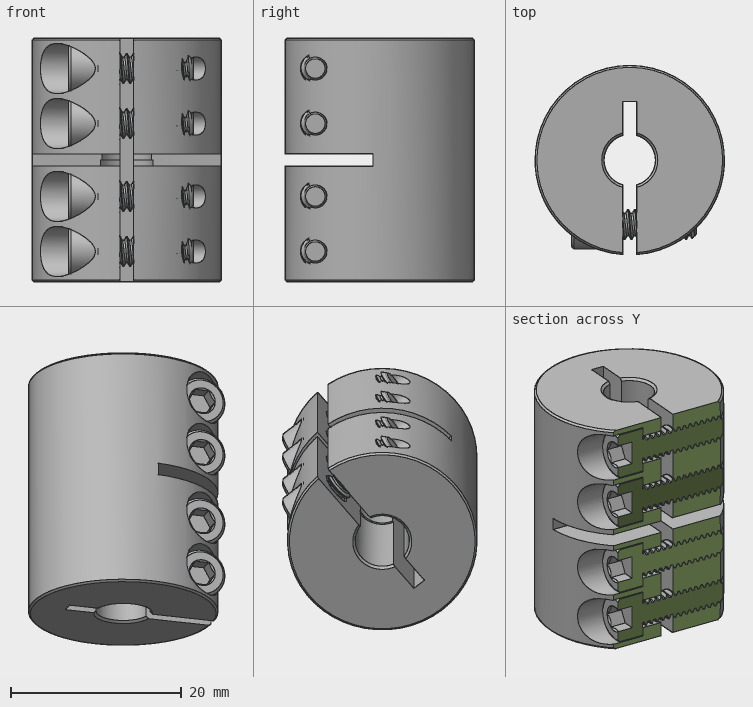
import cadquery as cq
import math

BODY_HEIGHT = 28.57
BODY_RADIUS = 11.1
RIM_CHAMFER = 0.23

UPPER_BORE_RADIUS = 3.0
LOWER_BORE_RADIUS = 3.17
BORE_CHAMFER = 0.29

SLIT_WIDTH = 1.6
SLIT_END_Y = 6.85
CROSS_SLOT_HEIGHT = 1.43
CROSS_SLOT_END_Y = -SLIT_WIDTH / 2

SCREW_Y = -7.55
SCREW_SPACING = 6.45
CLAMP_MIDDLE_Z = (BODY_HEIGHT + CROSS_SLOT_HEIGHT) / 4
SCREW_HEIGHTS = [
    clamp_z + offset
    for clamp_z in (CLAMP_MIDDLE_Z, -CLAMP_MIDDLE_Z)
    for offset in (SCREW_SPACING / 2, -SCREW_SPACING / 2)
]

HEAD_RADIUS = 2.89
HEAD_HEIGHT = 3.49
HEAD_CHAMFER = 0.3
HEAD_FACE_X = -6.85
SEAT_X = HEAD_FACE_X + HEAD_HEIGHT

HEX_ACROSS_CORNERS = 3.2
HEX_DEPTH = 2.0

TIP_X = 7.83
SHANK_LENGTH = TIP_X - SEAT_X
TIP_CHAMFER = 0.6

THREAD_RADIUS = 1.75
THREAD_ROOT_RADIUS = 1.35
THREAD_PITCH = 0.8
THREAD_CREST_WIDTH = THREAD_PITCH / 8
THREAD_FLANK_ANGLE = 30.0
THREAD_START_DEPTH = 0.23
ROOT_OVERLAP = 0.05

COUNTERBORE_RADIUS = 2.95
CLEARANCE_RADIUS = 1.89


def bore_half(radius, end_z):
    """Bore from mid height to one end face, with its chamfer at that face."""
    side = math.copysign(1, end_z)
    mouth = radius + BORE_CHAMFER
    outline = [
        (0, 0),
        (radius, 0),
        (radius, end_z - side * BORE_CHAMFER),
        (mouth, end_z),
        (0, end_z),
    ]
    return cq.Workplane("XZ").polyline(outline).close().revolve(360, (0, 0), (0, 1))


def vertical_slit():
    """Slit through the full height, from beyond the -Y side to its closed end."""
    length = SLIT_END_Y + BODY_RADIUS
    return (
        cq.Workplane("XY")
        .box(SLIT_WIDTH, length, BODY_HEIGHT)
        .translate((0, SLIT_END_Y - length / 2, 0))
    )


def cross_slot():
    """Horizontal slot that parts the two clamps on the -Y side."""
    length = BODY_RADIUS + CROSS_SLOT_END_Y
    return (
        cq.Workplane("XY")
        .box(2 * BODY_RADIUS, length, CROSS_SLOT_HEIGHT)
        .translate((0, CROSS_SLOT_END_Y - length / 2, 0))
    )


def rod_along_x(radius, start_x, end_x, z):
    """Cylinder on a screw axis at height z."""
    return (
        cq.Workplane("YZ", origin=(start_x, SCREW_Y, z))
        .circle(radius)
        .extrude(end_x - start_x)
    )


def make_screw_hole(z):
    """Counterbore, clearance hole up to the slit, and tapping hole beyond it."""
    counterbore = rod_along_x(COUNTERBORE_RADIUS, -BODY_RADIUS, SEAT_X, z)
    clearance = rod_along_x(CLEARANCE_RADIUS, SEAT_X, 0, z)
    tapping = rod_along_x(THREAD_ROOT_RADIUS, 0, BODY_RADIUS, z)
    return counterbore.union(clearance).union(tapping)


def shank_limit():
    """Space the shank may fill: it ends at the tip with a 45 degree chamfer."""
    tip_radius = THREAD_RADIUS - TIP_CHAMFER
    margin = THREAD_PITCH
    outline = [
        (0, -HEAD_HEIGHT),
        (THREAD_RADIUS + margin, -HEAD_HEIGHT),
        (THREAD_RADIUS + margin, SHANK_LENGTH - TIP_CHAMFER - margin),
        (tip_radius, SHANK_LENGTH),
        (0, SHANK_LENGTH),
    ]
    return cq.Workplane("XZ").polyline(outline).close().revolve(360, (0, 0), (0, 1))


def make_thread():
    """Right-handed helical ridge along local Z, with the head seat at Z = 0."""
    base_radius = THREAD_ROOT_RADIUS - ROOT_OVERLAP
    half_crest = THREAD_CREST_WIDTH / 2
    flank_run = (THREAD_RADIUS - base_radius) * math.tan(math.radians(THREAD_FLANK_ANGLE))
    half_base = half_crest + flank_run
    length = SHANK_LENGTH + THREAD_START_DEPTH + THREAD_PITCH
    helix = cq.Wire.makeHelix(THREAD_PITCH, length, THREAD_ROOT_RADIUS)
    ridge = (
        cq.Workplane("XZ")
        .polyline([
            (base_radius, -half_base),
            (THREAD_RADIUS, -half_crest),
            (THREAD_RADIUS, half_crest),
            (base_radius, half_base),
        ])
        .close()
        .sweep(cq.Workplane(obj=helix), isFrenet=True)
    )
    return ridge.translate((0, 0, -THREAD_START_DEPTH)).intersect(shank_limit())


def make_head():
    """Socket head below local Z = 0, with a chamfered outer edge and socket mouth."""
    corner_radius = HEX_ACROSS_CORNERS / 2
    flat_radius = corner_radius * math.cos(math.pi / 6)
    head = cq.Workplane("XY").circle(HEAD_RADIUS).extrude(-HEAD_HEIGHT)
    head = head.faces("<Z").chamfer(HEAD_CHAMFER)
    outer_face = cq.Workplane("XY", origin=(0, 0, -HEAD_HEIGHT))
    socket = (
        outer_face.transformed(rotate=(0, 0, 90))
        .polygon(6, HEX_ACROSS_CORNERS)
        .extrude(HEX_DEPTH)
    )
    mouth = cq.Workplane(
        obj=cq.Solid.makeCone(corner_radius, flat_radius, corner_radius - flat_radius)
    ).translate((0, 0, -HEAD_HEIGHT))
    return head.cut(socket).cut(mouth)


def place_on_axis(part, z):
    """Turn a part built along local Z to point along +X, on the screw axis at height z."""
    return part.rotate((0, 0, 0), (0, 1, 0), 90).translate((SEAT_X, SCREW_Y, z))


def make_screw():
    """Clamp screw along local Z: head, shank core and thread."""
    core = cq.Workplane("XY").circle(THREAD_ROOT_RADIUS).extrude(SHANK_LENGTH)
    return make_head().union(core.intersect(shank_limit())).union(make_thread())


def threaded_end(screw):
    """The part of a screw, along local Z, that lies on the +X side of the slit middle."""
    zone = cq.Workplane("XY", origin=(0, 0, -SEAT_X)).circle(HEAD_RADIUS).extrude(TIP_X)
    return screw.intersect(zone)


def make_body(screw):
    """Split sleeve with its stepped bore, slits and holes threaded to match the screw."""
    body = cq.Workplane("XY").cylinder(BODY_HEIGHT, BODY_RADIUS)
    body = body.faces("|Z").chamfer(RIM_CHAMFER)
    body = body.cut(bore_half(UPPER_BORE_RADIUS, BODY_HEIGHT / 2))
    body = body.cut(bore_half(LOWER_BORE_RADIUS, -BODY_HEIGHT / 2))
    body = body.cut(vertical_slit()).cut(cross_slot())
    thread_cutter = threaded_end(screw)
    for z in SCREW_HEIGHTS:
        body = body.cut(make_screw_hole(z)).cut(place_on_axis(thread_cutter, z))
    return body


screw = make_screw()
screws = [place_on_axis(screw, z) for z in SCREW_HEIGHTS]
body = make_body(screw)

result = cq.Compound.makeCompound([
    body.solids().val(),
    *[placed_screw.solids().val() for placed_screw in screws],
])